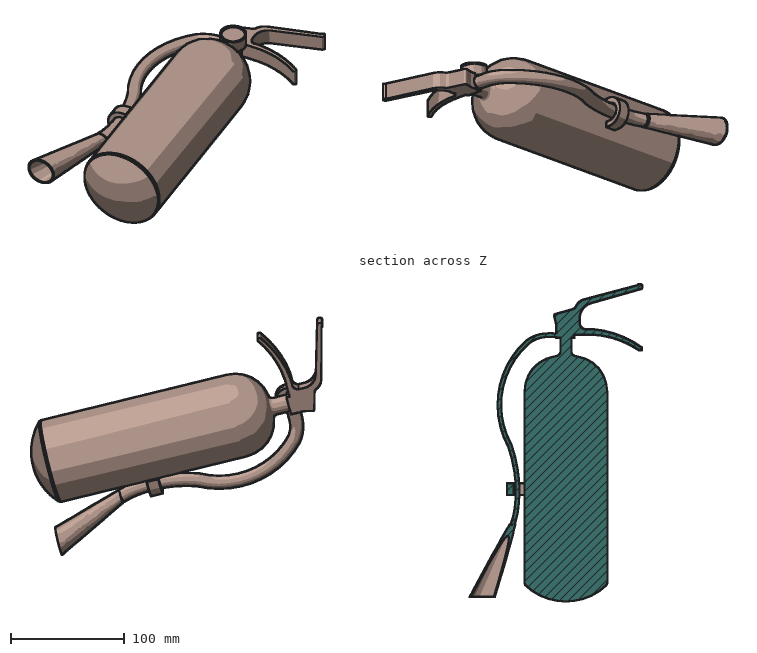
import cadquery as cq


tank_radius = 37.05
seam_radius = 36.3
seam_y = 14.8
wall_start_y = 16.8
base_dome_radius = (seam_radius**2 + seam_y**2) / (2 * seam_y)
shoulder_radius = 31.5
shoulder_y = 185.0
neck_radius = 7.5
neck_fillet = 3.5

gauge_y = 232.0
gauge_diameter = 23.0
gauge_face_diameter = 21.0
gauge_recess = 1.0
gauge_top_z = 17.5
gauge_bottom_z = 6.2
lever_width = 14.5
lever_half_width = lever_width / 2
valve_left_x = -8.7
valve_right_x = 12.3
valve_top_y = 244.0

hose_diameter = 11.7
hose_y = 234.5
hose_bend_x = -15.5
hose_joint = (-34.0, 228.1)
hose_lower_joint = (-49.2, 137.3)
hose_end = (-43.5, 81.0)
nozzle_end = (-47.0, 68.0)
clip_x = -39.7
clip_outer_radius = 13.5
clip_inner_radius = 8.5
clip_end_x = -35.5
clip_bottom_y = 94.0
clip_height = 10.5

mouth_x = -73.5
mouth_y = 4.5
mouth_diameter = 25.2
mouth_bore = 23.0
throat_diameter = 12.3
throat_bore = 9.0


def make_tank():
    mid_radius = seam_radius / 2
    mid_y = base_dome_radius - (base_dome_radius**2 - mid_radius**2) ** 0.5
    shoulder_mid = cq.Vector(1, 1, 0).normalized() * shoulder_radius
    flat_radius = tank_radius - shoulder_radius
    neck_foot = neck_radius + neck_fillet
    dome_rise = (shoulder_radius**2 - (neck_foot - flat_radius) ** 2) ** 0.5
    neck_foot_y = shoulder_y + dome_rise
    return (
        cq.Workplane("XY")
        .moveTo(0, 0)
        .threePointArc((mid_radius, mid_y), (seam_radius, seam_y))
        .lineTo(tank_radius, wall_start_y)
        .lineTo(tank_radius, shoulder_y)
        .threePointArc(
            (flat_radius + shoulder_mid.x, shoulder_y + shoulder_mid.y),
            (neck_foot, neck_foot_y),
        )
        .radiusArc((neck_radius, neck_foot_y + neck_fillet), neck_fillet)
        .lineTo(neck_radius, gauge_y)
        .lineTo(0, gauge_y)
        .close()
        .revolve(360, (0, 0, 0), (0, 1, 0))
    )


def lever_plate(outline):
    return outline.close().extrude(lever_half_width, both=True)


def make_upper_lever():
    outline = (
        cq.Workplane("XY")
        .moveTo(valve_left_x, valve_top_y)
        .lineTo(-10.3, 251.0)
        .threePointArc((-10.0, 252.5), (-8.7, 253.3))
        .lineTo(5.3, 257.2)
        .threePointArc((7.5, 258.3), (9.0, 260.3))
        .threePointArc((12.0, 264.0), (16.5, 266.2))
        .lineTo(63.0, 278.5)
        .threePointArc((67.5, 277.0), (65.5, 274.8))
        .lineTo(22.0, 262.5)
        .threePointArc((14.8, 257.5), (valve_right_x, 250.8))
        .lineTo(valve_right_x, valve_top_y)
    )
    return lever_plate(outline)


def make_lower_lever():
    outline = (
        cq.Workplane("XY")
        .moveTo(valve_left_x, valve_top_y)
        .lineTo(valve_right_x, valve_top_y)
        .threePointArc((13.7, 241.5), (16.5, 240.0))
        .lineTo(24.0, 240.0)
        .threePointArc((45.9, 234.9), (66.0, 224.2))
        .threePointArc((66.8, 221.7), (64.3, 221.2))
        .threePointArc((45.3, 230.7), (24.0, 234.9))
        .lineTo(neck_radius, 234.9)
        .lineTo(neck_radius, gauge_y)
        .lineTo(valve_left_x, gauge_y)
    )
    return lever_plate(outline)


def make_gauge():
    body = (
        cq.Workplane("XY", origin=(0, gauge_y, gauge_bottom_z))
        .circle(gauge_diameter / 2)
        .extrude(gauge_top_z - gauge_bottom_z)
    )
    return body.faces(">Z").workplane().hole(gauge_face_diameter, gauge_recess)


def make_hose():
    path = (
        cq.Workplane("XY")
        .moveTo(0, hose_y)
        .lineTo(hose_bend_x, hose_y)
        .tangentArcPoint(hose_joint, relative=False)
        .threePointArc((-58.5, 171.0), hose_lower_joint)
        .threePointArc((-42.8, 106.2), hose_end)
        .tangentArcPoint(nozzle_end, relative=False)
    )
    return (
        cq.Workplane("YZ", origin=(0, hose_y, 0))
        .circle(hose_diameter / 2)
        .sweep(path, transition="round")
    )


def make_clip():
    def half_slot(radius):
        return (
            cq.Workplane("XZ", origin=(0, clip_bottom_y, 0))
            .moveTo(clip_end_x, radius)
            .lineTo(clip_x, radius)
            .threePointArc((clip_x - radius, 0), (clip_x, -radius))
            .lineTo(clip_end_x, -radius)
            .close()
            .extrude(-clip_height)
        )

    return half_slot(clip_outer_radius).cut(half_slot(clip_inner_radius))


def horn_cone(throat, mouth):
    throat_x, throat_y = nozzle_end
    return (
        cq.Workplane("XZ", origin=(0, mouth_y, 0))
        .center(mouth_x, 0)
        .circle(mouth / 2)
        .workplane(offset=mouth_y - throat_y)
        .center(throat_x - mouth_x, 0)
        .circle(throat / 2)
        .loft(ruled=True)
    )


outer_parts = [
    make_upper_lever(),
    make_lower_lever(),
    make_hose(),
    make_clip(),
    horn_cone(throat_diameter, mouth_diameter),
    make_gauge(),
]
result = make_tank()
for part in outer_parts:
    result = result.union(part)
result = result.cut(horn_cone(throat_bore, mouth_bore))